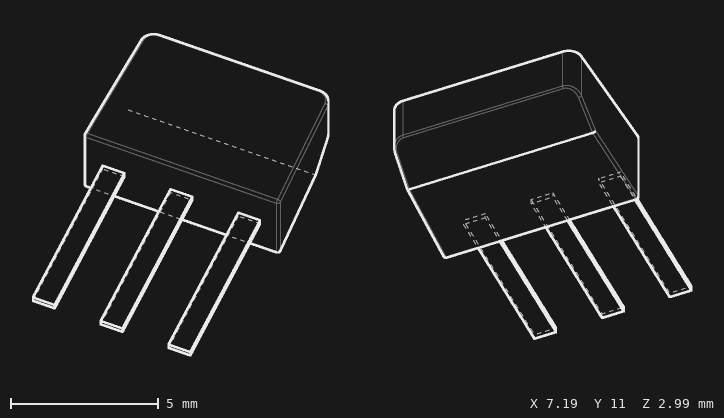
import cadquery as cq
import math

total_length = 11.0
body_width = 7.2
body_height = 3.0
body_length = 5.0
draft_angle = 2.0
corner_radius = 0.5
edge_radius = 0.1

slope_length = 1.54
slope_rise = 0.96
slope_start = body_length - slope_length

lead_count = 3
lead_pitch = 2.5
lead_width = 0.8
lead_thickness = 0.2
lead_length = total_length - body_length


def drafted_block():
    """Block with its largest face on the XZ plane, narrowing towards +Y."""
    return (
        cq.Workplane("XZ")
        .rect(body_width, body_height)
        .extrude(-body_length, taper=draft_angle)
    )


def underside_wedge():
    """Material removed between the underside and the back face."""
    underside_z = -body_height / 2 + slope_start * math.tan(math.radians(draft_angle))
    far_y = slope_start + 2 * slope_length
    far_z = underside_z + 2 * slope_rise
    return (
        cq.Workplane("YZ")
        .moveTo(slope_start, underside_z)
        .lineTo(far_y, far_z)
        .lineTo(far_y, -body_height)
        .lineTo(slope_start, -body_height)
        .close()
        .extrude(body_width, both=True)
    )


def make_body():
    """Drafted block with the slope cut, the back corners rounded and the rims softened."""
    block = drafted_block().cut(underside_wedge())
    block = block.faces(">Y").edges("<X or >X").fillet(corner_radius)

    bend = cq.selectors.BoxSelector(
        (-edge_radius, slope_start - edge_radius, -body_height),
        (edge_radius, slope_start + edge_radius, 0),
    )
    round_seams = cq.selectors.BoxSelector(
        (-body_width, body_length - corner_radius - edge_radius, 0),
        (body_width, body_length + edge_radius, body_height / 4),
    )
    return block.edges(-(bend + round_seams)).fillet(edge_radius)


def make_lead(center_x):
    """Flat lead running from the front face towards -Y."""
    return (
        cq.Workplane("XZ")
        .center(center_x, 0)
        .rect(lead_width, lead_thickness)
        .extrude(lead_length)
    )


result = make_body()
for index in range(lead_count):
    lead_x = (index - (lead_count - 1) / 2) * lead_pitch
    result = result.union(make_lead(lead_x))